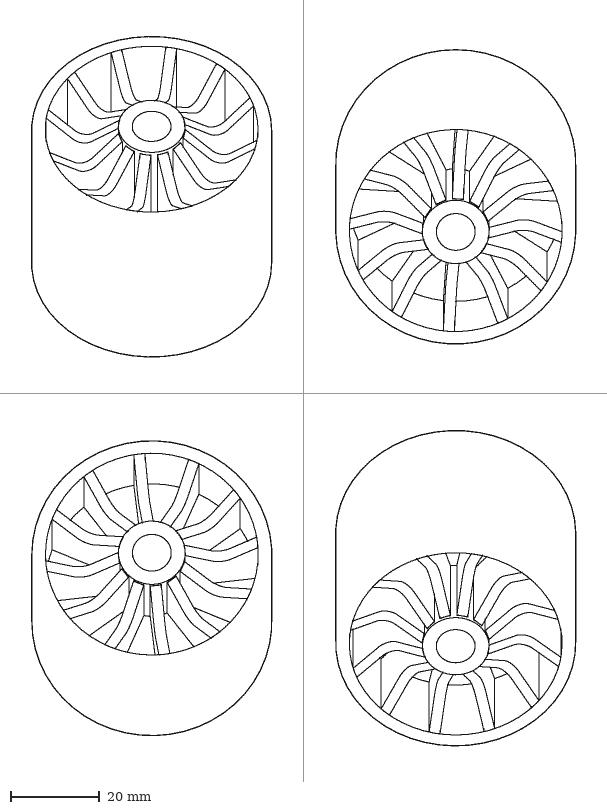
import cadquery as cq
import math

drum_diameter = 54.0
drum_length = 48.5
rim_inner_diameter = 47.8
rim_edge_radius = 0.5

hub_diameter = 15.0
hub_projection = 1.0
bore_diameter = 8.7

web_thickness = 5.0

rib_count = 12
rib_thickness = 2.5
notch_slope = math.radians(45)
notch_root_radius = 3.0

drum_radius = drum_diameter / 2
rim_inner_radius = rim_inner_diameter / 2
hub_radius = hub_diameter / 2
bore_radius = bore_diameter / 2
half_drum = drum_length / 2
hub_length = drum_length + 2 * hub_projection


def tube(outer_radius, inner_radius, length):
    """Hollow cylinder about Z, centred on the origin."""
    return (
        cq.Workplane("XY")
        .workplane(offset=-length / 2)
        .circle(outer_radius)
        .circle(inner_radius)
        .extrude(length)
    )


def make_rim():
    """Outer drum wall with both outside edges rounded."""
    drum = cq.Workplane("XY").cylinder(drum_length, drum_radius)
    drum = drum.edges("%CIRCLE").fillet(rim_edge_radius)
    opening = cq.Workplane("XY").cylinder(drum_length, rim_inner_radius)
    return drum.cut(opening)


def make_notch():
    """Vee notch in the +Z end of the rib lying along +X."""
    half_span = (rim_inner_radius - hub_radius) / 2
    notch_depth = half_span * math.tan(notch_slope)
    return (
        cq.Workplane("XZ")
        .moveTo(hub_radius, half_drum)
        .lineTo(hub_radius + half_span, half_drum - notch_depth)
        .lineTo(rim_inner_radius, half_drum)
        .close()
        .extrude(rib_thickness, both=True)
        .edges("|Y")
        .edges("<Z")
        .fillet(notch_root_radius)
    )


def make_rib():
    """Rib along +X, ending exactly on the hub and rim surfaces."""
    bar = cq.Workplane("XY").box(
        rim_inner_radius, rib_thickness, drum_length, centered=(False, True, True)
    )
    bar = bar.intersect(tube(rim_inner_radius, hub_radius, drum_length))
    notch = make_notch()
    return bar.cut(notch).cut(notch.mirror("XY"))


hub = tube(hub_radius, bore_radius, hub_length)
web = tube(rim_inner_radius, hub_radius, web_thickness)
result = make_rim().union(hub).union(web)

rib = make_rib()
rib_spacing = 360 / rib_count
for index in range(rib_count):
    result = result.union(rib.rotate((0, 0, 0), (0, 0, 1), index * rib_spacing))